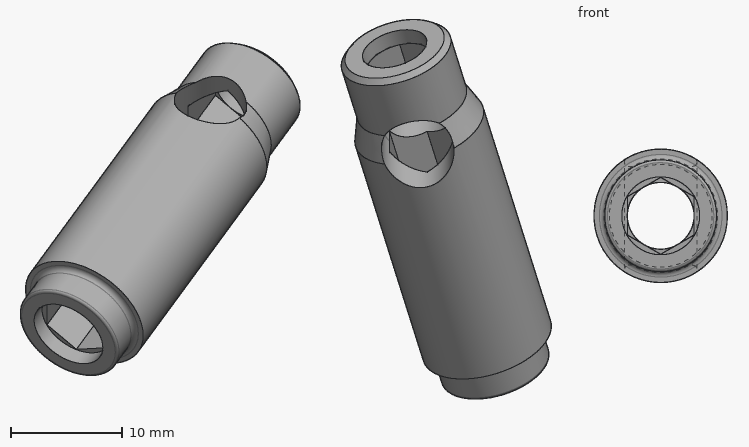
import cadquery as cq
import math

length = 35.0
body_diameter = 12.0
front_neck_diameter = 10.05
front_neck_length = 3.0
rear_neck_diameter = 10.22
rear_neck_length = 6.0
cone_length = 2.52
step_fillet = 0.5
front_edge_round = 0.25
rear_chamfer = 0.5

hex_across_flats = 6.0
counterbore_diameter = 7.0
counterbore_depth = 1.5
hex_turn = 30
hex_rear_setback = 1.5
cross_hole_diameter = 6.5
cross_hole_setback = 8.0

front_y = -length / 2
rear_y = length / 2
hex_rear_y = rear_y - hex_rear_setback
cross_hole_y = rear_y - cross_hole_setback


def outer_body():
    """Revolve the outside profile about Y, with its edge breaks included."""
    body_radius = body_diameter / 2
    front_radius = front_neck_diameter / 2
    rear_radius = rear_neck_diameter / 2
    step_y = front_y + front_neck_length
    cone_rear_y = rear_y - rear_neck_length
    profile = (
        cq.Workplane("XY")
        .moveTo(0, front_y)
        .lineTo(front_radius - front_edge_round, front_y)
        .radiusArc((front_radius, front_y + front_edge_round), -front_edge_round)
        .lineTo(front_radius, step_y - step_fillet)
        .radiusArc((front_radius + step_fillet, step_y), step_fillet)
        .lineTo(body_radius, step_y)
        .lineTo(body_radius, cone_rear_y - cone_length)
        .lineTo(rear_radius, cone_rear_y)
        .lineTo(rear_radius, rear_y - rear_chamfer)
        .lineTo(rear_radius - rear_chamfer, rear_y)
        .lineTo(0, rear_y)
        .close()
    )
    return profile.revolve(360, (0, 0, 0), (0, 1, 0))


def round_bore(diameter, start_y, end_y):
    """Cylinder along Y between two stations."""
    plane = cq.Workplane("XZ", origin=(0, start_y, 0))
    return plane.circle(diameter / 2).extrude(start_y - end_y)


def hex_bore(start_y, end_y):
    """Hexagonal prism along Y with two of its flats facing +X and -X."""
    plane = cq.Workplane("XZ", origin=(0, start_y, 0))
    across_corners = hex_across_flats / math.cos(math.radians(30))
    hexagon = plane.polygon(6, across_corners)
    return hexagon.extrude(start_y - end_y).rotate((0, 0, 0), (0, 1, 0), hex_turn)


def cross_hole():
    """Cylinder along Z, right through the body."""
    plane = cq.Workplane("XY", origin=(0, cross_hole_y, 0))
    return plane.circle(cross_hole_diameter / 2).extrude(body_diameter, both=True)


result = (
    outer_body()
    .cut(round_bore(counterbore_diameter, front_y, front_y + counterbore_depth))
    .cut(hex_bore(front_y, hex_rear_y))
    .cut(round_bore(hex_across_flats, hex_rear_y, rear_y))
    .cut(cross_hole())
)